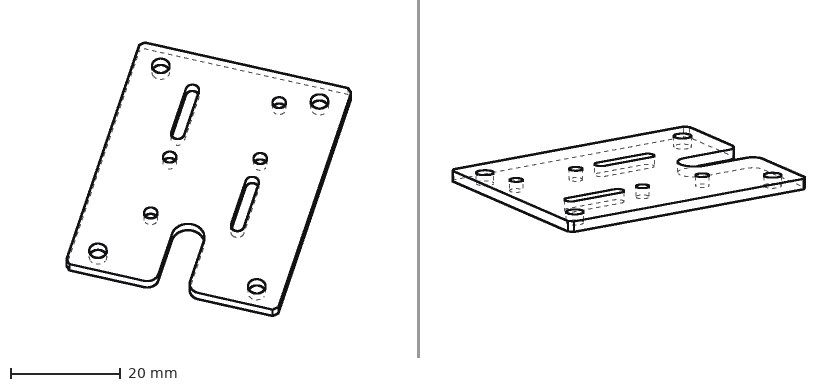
import cadquery as cq

length = 51.5
width = 40.0
thickness = 2.0
corner_size = 0.8

mount_diameter = 3.2
mount_x = 15.0
mount_y = 21.5

small_diameter = 2.4
column_x = 8.0
pair_spacing = 13.0
right_pair_top_y = 19.25
left_pair_top_y = 2.2
slot_length = 12.5
left_slot_y = 12.7
right_slot_y = -4.3

notch_width = 5.95
notch_depth = 14.5
notch_mouth_radius = 2.1


def make_plate():
    """Plate standing on Z = 0, with broken vertical corners."""
    plate = cq.Workplane("XY").box(width, length, thickness, centered=(True, True, False))
    return plate.edges("|Z").chamfer(corner_size)


def make_notch():
    """Cutter for the notch, flaring through round corners at its mouth."""
    half_width = notch_width / 2
    front_y = -length / 2
    arc_y = front_y + notch_depth - half_width
    mouth_y = front_y + notch_mouth_radius
    mouth_x = half_width + notch_mouth_radius
    return (
        cq.Workplane("XY")
        .moveTo(-mouth_x, front_y)
        .radiusArc((-half_width, mouth_y), -notch_mouth_radius)
        .lineTo(-half_width, arc_y)
        .threePointArc((0, arc_y + half_width), (half_width, arc_y))
        .lineTo(half_width, mouth_y)
        .radiusArc((mouth_x, front_y), -notch_mouth_radius)
        .close()
        .extrude(thickness)
    )


def make_holes(points, diameter):
    """Cylindrical cutters through the plate."""
    return cq.Workplane("XY").pushPoints(points).circle(diameter / 2).extrude(thickness)


def make_slots(points):
    """Cutters for slots running along Y."""
    return cq.Workplane("XY").pushPoints(points).slot2D(slot_length, small_diameter, 90).extrude(thickness)


mount_points = [(x, y) for x in (-mount_x, mount_x) for y in (-mount_y, mount_y)]
small_points = []
for x, top_y in ((-column_x, left_pair_top_y), (column_x, right_pair_top_y)):
    small_points += [(x, top_y), (x, top_y - pair_spacing)]
slot_points = [(-column_x, left_slot_y), (column_x, right_slot_y)]

result = (
    make_plate()
    .cut(make_notch())
    .cut(make_holes(mount_points, mount_diameter))
    .cut(make_holes(small_points, small_diameter))
    .cut(make_slots(slot_points))
)